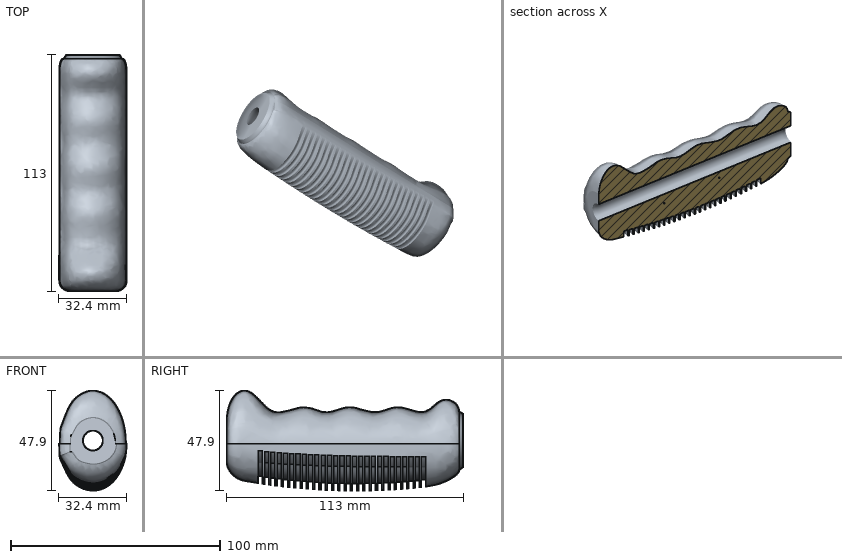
import cadquery as cq
import math

LENGTH = 113.0
WIDTH = 32.36
HEIGHT = 47.93
NEAR_END = -LENGTH / 2
FAR_END = LENGTH / 2
CROWN_TOP = HEIGHT / 2
KEEL_BOTTOM = -HEIGHT / 2

PARTING_Z = -1.6
PARTING_LEDGE = 0.3

NEAR_FACE_RADIUS = 11.1
CAP_THICKNESS = 1.9
BODY_FAR_RADIUS = 14.5
CAP_BASE_RADIUS = 14.0
CAP_FACE_RADIUS = 12.75
BODY_FAR_END = FAR_END - CAP_THICKNESS
BORE_RADIUS = 4.7

NEAR_SIDE_ROUND = 5.0
FAR_SIDE_ROUND = 6.0
NEAR_CROWN_ROUND = 8.5
FAR_CROWN_ROUND = 6.5
NEAR_KEEL_ROUND = 8.0
FAR_KEEL_ROUND = 15.5

ROUND_SWEEP = math.radians(82)

VALLEY_Z = 13.6
SWELL_Z = 16.0
FAR_KNOB_Z = 19.6
FAR_KNOB_Y = 48.0
VALLEYS_Y = (37.0, 14.3, -8.8, -31.6)
SWELLS_Y = (25.2, 2.4, -19.3)
NEAR_KNOB_FOOT_Y = -32.7
NEAR_KNOB_Y = NEAR_END + NEAR_CROWN_ROUND

KEEL_RADIUS = 300.0
KEEL_LOWEST_Y = 5.0

GROOVE_COUNT = 27
GROOVE_WIDTH = 2.0
GROOVE_PITCH = 3.0
GROOVE_DEPTH = 3.4
FIRST_GROOVE_Y = 38.6
FLOOR_HALF_WIDTH = 10.6
SHOULDER_FAR_Z = -12.6
SHOULDER_RISE = 2.3

STATION_SPACING = 3.0
ROUND_STATIONS = 4
SECTION_STEPS = 8


def crown_knots():
    """Peaks and valleys of the crown line, from the far end to the near end."""
    knots = [(FAR_KNOB_Y, FAR_KNOB_Z)]
    for valley_y, swell_y in zip(VALLEYS_Y, SWELLS_Y):
        knots += [(valley_y, VALLEY_Z), (swell_y, SWELL_Z)]
    knots += [(VALLEYS_Y[-1], VALLEY_Z), (NEAR_KNOB_FOOT_Y, VALLEY_Z)]
    knots.append((NEAR_KNOB_Y, CROWN_TOP))
    return knots


CROWN_KNOTS = crown_knots()


def crown_line(y):
    """Crown height, a cosine wave from each peak or valley to the next."""
    if y >= FAR_KNOB_Y:
        return FAR_KNOB_Z
    for (y_start, z_start), (y_stop, z_stop) in zip(CROWN_KNOTS, CROWN_KNOTS[1:]):
        if y >= y_stop:
            travel = (y_start - y) / (y_start - y_stop)
            return z_start + (z_stop - z_start) * (1 - math.cos(math.pi * travel)) / 2
    return CROWN_TOP


def keel_line(y):
    """Keel height along its circular sweep."""
    return KEEL_BOTTOM + KEEL_RADIUS - math.sqrt(KEEL_RADIUS**2 - (y - KEEL_LOWEST_Y) ** 2)


def rounded(y, full, near_round, far_round):
    """Blend a full distance from the bore axis down to the end faces on elliptical arcs."""
    if y < NEAR_END + near_round:
        end_radius = NEAR_FACE_RADIUS
        travel = (NEAR_END + near_round - y) / near_round
    elif y > BODY_FAR_END - far_round:
        end_radius = BODY_FAR_RADIUS
        travel = (y - BODY_FAR_END + far_round) / far_round
    else:
        return full
    turn = math.asin(min(1.0, travel) * math.sin(ROUND_SWEEP))
    share = (math.cos(turn) - math.cos(ROUND_SWEEP)) / (1 - math.cos(ROUND_SWEEP))
    return end_radius + (full - end_radius) * share


def stations(near_round, far_round):
    """Section positions: even along the grip and closing up towards both end faces."""
    near_start = NEAR_END + near_round
    far_start = BODY_FAR_END - far_round
    count = round((far_start - near_start) / STATION_SPACING)
    step = (far_start - near_start) / count
    turns = [ROUND_SWEEP * i / ROUND_STATIONS for i in range(1, ROUND_STATIONS + 1)]
    travels = [math.sin(turn) / math.sin(ROUND_SWEEP) for turn in turns]
    near = [near_start - near_round * travel for travel in reversed(travels)]
    middle = [near_start + step * i for i in range(count + 1)]
    far = [far_start + far_round * travel for travel in travels]
    return near + middle + far


def half_oval(y, half_width, tip_z):
    """Half-ellipse standing on the parting plane, closed by its chord."""
    rise = tip_z - PARTING_Z
    angles = [math.pi * i / SECTION_STEPS for i in range(SECTION_STEPS + 1)]
    points = [
        cq.Vector(half_width * math.cos(a), y, PARTING_Z + rise * math.sin(a)) for a in angles
    ]
    leave = cq.Vector(0, 0, math.copysign(1, rise))
    curve = cq.Edge.makeSpline(points, tangents=[leave, leave * -1])
    chord = cq.Edge.makeLine(points[-1], points[0])
    return cq.Wire.assembleEdges([curve, chord])


def upper_shell():
    """Finger side of the grip, above the parting plane."""
    sections = []
    for y in stations(NEAR_CROWN_ROUND, FAR_CROWN_ROUND):
        half_width = rounded(y, WIDTH / 2, NEAR_SIDE_ROUND, FAR_SIDE_ROUND) - PARTING_LEDGE
        crown = rounded(y, crown_line(y), NEAR_CROWN_ROUND, FAR_CROWN_ROUND)
        sections.append(half_oval(y, half_width, crown))
    return cq.Workplane(cq.Solid.makeLoft(sections))


def lower_shell():
    """Palm side of the grip, below the parting plane."""
    sections = []
    for y in stations(NEAR_SIDE_ROUND, FAR_SIDE_ROUND):
        half_width = rounded(y, WIDTH / 2, NEAR_SIDE_ROUND, FAR_SIDE_ROUND)
        keel = -rounded(y, -keel_line(y), NEAR_KEEL_ROUND, FAR_KEEL_ROUND)
        sections.append(half_oval(y, half_width, keel))
    return cq.Workplane(cq.Solid.makeLoft(sections))


def far_cap():
    """Tapered disc closing the far end."""
    cap = cq.Solid.makeCone(
        CAP_BASE_RADIUS,
        CAP_FACE_RADIUS,
        CAP_THICKNESS,
        pnt=cq.Vector(0, BODY_FAR_END, 0),
        dir=cq.Vector(0, 1, 0),
    )
    return cq.Workplane(cap)


def groove(y_start):
    """One groove: 45 degree shoulders on both sides of a rounded floor above the keel."""
    y_middle = y_start - GROOVE_WIDTH / 2
    span = (GROOVE_COUNT - 1) * GROOVE_PITCH
    travel = (FIRST_GROOVE_Y - y_start) / span
    shoulder_z = SHOULDER_FAR_Z + SHOULDER_RISE * travel**3
    floor_z = keel_line(y_middle) + GROOVE_DEPTH
    outside_x = WIDTH
    outside_z = shoulder_z + outside_x - FLOOR_HALF_WIDTH
    below_z = -HEIGHT
    return (
        cq.Workplane("XZ", origin=(0, y_start, 0))
        .moveTo(-outside_x, outside_z)
        .lineTo(-FLOOR_HALF_WIDTH, shoulder_z)
        .threePointArc((0, floor_z), (FLOOR_HALF_WIDTH, shoulder_z))
        .lineTo(outside_x, outside_z)
        .lineTo(outside_x, below_z)
        .lineTo(-outside_x, below_z)
        .close()
        .extrude(GROOVE_WIDTH)
    )


def bore():
    """Round hole through the whole length."""
    return cq.Workplane("XZ", origin=(0, FAR_END, 0)).circle(BORE_RADIUS).extrude(LENGTH)


def grooves():
    """All grooves as one cutting tool."""
    starts = [FIRST_GROOVE_Y - index * GROOVE_PITCH for index in range(GROOVE_COUNT)]
    return cq.Workplane(cq.Compound.makeCompound([groove(y).val() for y in starts]))


grooved_shell = lower_shell().cut(grooves())
result = upper_shell().union(grooved_shell).union(far_cap()).cut(bore())